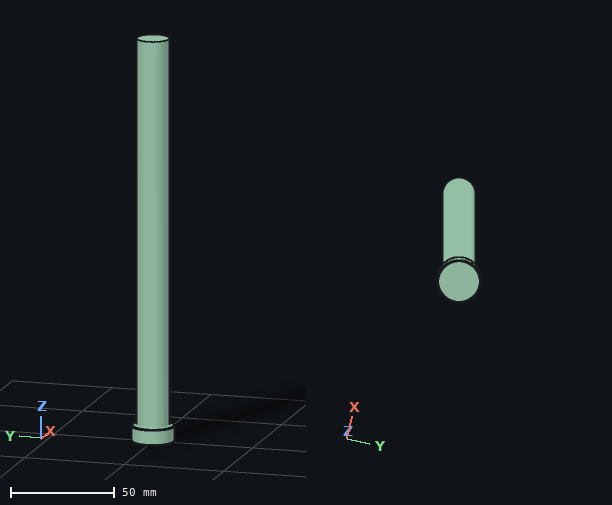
import cadquery as cq

total_length = 200.0
shaft_radius = 16.0 / 2
head_radius = 21.0 / 2
head_height = 8.0
head_chamfer = 0.5
neck_fillet = 0.5

half_section = (
    cq.Workplane("XZ")
    .lineTo(-(head_radius - head_chamfer), 0)
    .lineTo(-head_radius, head_chamfer)
    .lineTo(-head_radius, head_height - head_chamfer)
    .lineTo(-(head_radius - head_chamfer), head_height)
    .lineTo(-(shaft_radius + neck_fillet), head_height)
    .radiusArc((-shaft_radius, head_height + neck_fillet), -neck_fillet)
    .lineTo(-shaft_radius, total_length)
    .lineTo(0, total_length)
    .close()
)

result = half_section.revolve(360, (0, 0, 0), (0, 1, 0))